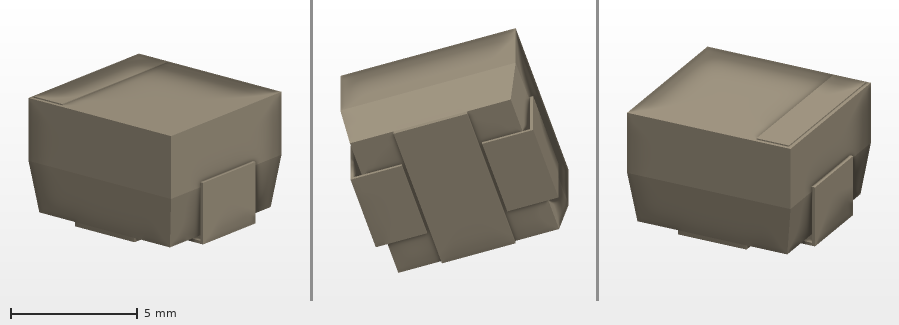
import cadquery as cq

OVERALL_LENGTH = 7.59
OVERALL_HEIGHT = 5.05
HOUSING_LENGTH = 7.29
HOUSING_WIDTH = 6.91
PARTING_HEIGHT = 2.36
TAPER_INSET = 0.3

RIB_LENGTH = 3.05
RIB_HEIGHT = 0.18

STRIPE_LENGTH = 1.45
STRIPE_MARGIN = 0.15
STRIPE_THICKNESS = 0.05

TERMINAL_WIDTH = 3.29
TERMINAL_HEIGHT = 2.58
TERMINAL_FOOT_LENGTH = 2.125
SHEET_THICKNESS = 0.13

HOUSING_TOP = OVERALL_HEIGHT - STRIPE_THICKNESS
BASE_LENGTH = HOUSING_LENGTH - 2 * TAPER_INSET
BASE_WIDTH = HOUSING_WIDTH - 2 * TAPER_INSET


def make_housing():
    """Molded block with a tapered lower half and a rib across its base."""
    upper = (
        cq.Workplane("XY")
        .workplane(offset=PARTING_HEIGHT)
        .rect(HOUSING_LENGTH, HOUSING_WIDTH)
        .extrude(HOUSING_TOP - PARTING_HEIGHT)
    )
    lower = (
        cq.Workplane("XY")
        .workplane(offset=RIB_HEIGHT)
        .rect(BASE_LENGTH, BASE_WIDTH)
        .workplane(offset=PARTING_HEIGHT - RIB_HEIGHT)
        .rect(HOUSING_LENGTH, HOUSING_WIDTH)
        .loft(ruled=True)
    )
    rib = cq.Workplane("XY").rect(RIB_LENGTH, BASE_WIDTH).extrude(RIB_HEIGHT)
    return upper.union(lower).union(rib)


def make_stripe():
    """Thin marking strip near the -X edge of the housing top."""
    center_x = -HOUSING_LENGTH / 2 + STRIPE_MARGIN + STRIPE_LENGTH / 2
    return (
        cq.Workplane("XY")
        .workplane(offset=HOUSING_TOP)
        .center(center_x, 0)
        .rect(STRIPE_LENGTH, HOUSING_WIDTH - 2 * STRIPE_MARGIN)
        .extrude(STRIPE_THICKNESS)
    )


def make_terminal(side):
    """Bent strip on the -X (side = -1) or +X (side = 1) end of the housing.

    A short tab at the top touches the housing; the foot turns in below it.
    """
    outer_x = OVERALL_LENGTH / 2
    inner_x = outer_x - SHEET_THICKNESS
    housing_x = HOUSING_LENGTH / 2
    foot_end_x = outer_x - TERMINAL_FOOT_LENGTH
    tab_bottom = TERMINAL_HEIGHT - SHEET_THICKNESS
    profile = [
        (outer_x, 0),
        (outer_x, TERMINAL_HEIGHT),
        (housing_x, TERMINAL_HEIGHT),
        (housing_x, tab_bottom),
        (inner_x, tab_bottom),
        (inner_x, SHEET_THICKNESS),
        (foot_end_x, SHEET_THICKNESS),
        (foot_end_x, 0),
    ]
    return (
        cq.Workplane("XZ")
        .polyline([(side * x, z) for x, z in profile])
        .close()
        .extrude(TERMINAL_WIDTH / 2, both=True)
    )


housing = make_housing()
stripe = make_stripe()
terminals = [make_terminal(side) for side in (-1, 1)]

result = cq.Compound.makeCompound(
    [housing.val(), stripe.val(), *[terminal.val() for terminal in terminals]]
)